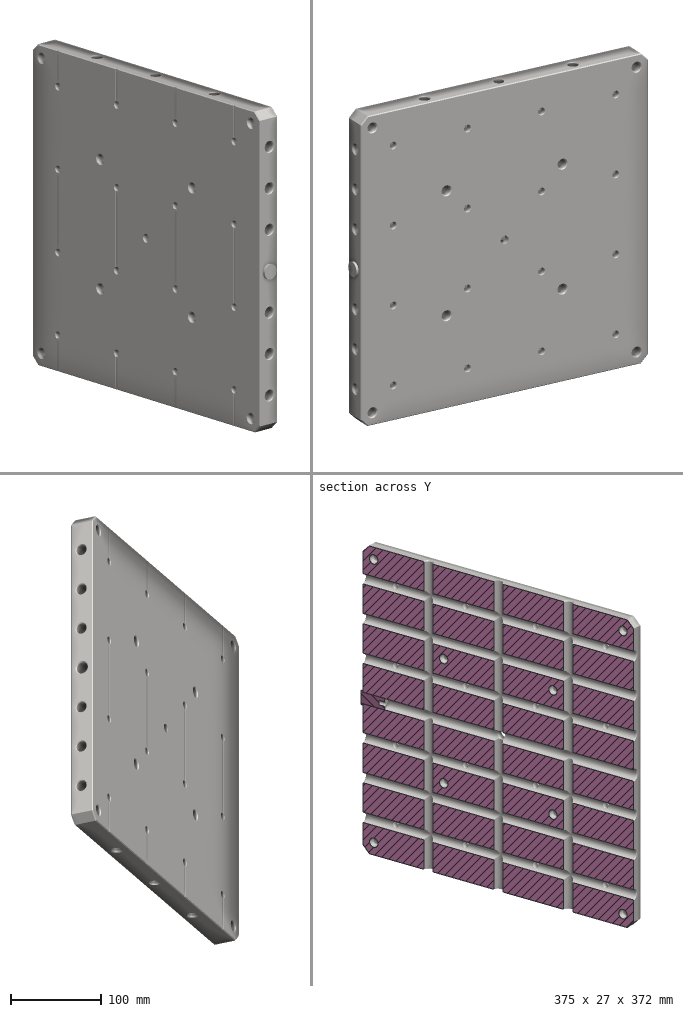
import cadquery as cq

overall_length = 375.0

plate_side = 372.0
plate_thickness = 27.0
corner_chamfer = 9.0
rim_chamfer = 1.0
plate_half = plate_side / 2
plate_front = -plate_thickness / 2

grid_pitch = 96.0
grid_count = 4
grid_hole_dia = 8.0
grid_mouth_dia = 9.0
grid_positions = [(i - (grid_count - 1) / 2) * grid_pitch for i in range(grid_count)]

mounting_offsets = (171.0, 75.0)
mounting_hole_dia = 11.0
mounting_mouth_dia = 13.0
center_hole_dia = 10.0

groove_width = 3.5
groove_depth = 0.5

long_hole_y = 0.7
long_hole_dia = 12.0
long_mouth_dia = 14.0
center_long_hole_dia = 12.0
side_hole_pitch = grid_pitch / 2
side_hole_rows = (-3, -2, -1, 1, 2, 3)

bore_dia = 13.0
bore_mouth_dia = 15.5

head_dia = 17.5
head_height = overall_length - plate_side
stem_length = 30.0
end_hole_dia = 5.0
end_mouth_dia = 6.0
end_hole_depth = 7.5

plate_shift = -head_height / 2


def countersunk_cutter(diameter, mouth_diameter, length, both_ends=True):
    """Round cutter standing on the origin along +Z, widened at 45 degrees at its ends."""
    flare = (mouth_diameter - diameter) / 2
    cutter = cq.Workplane("XY").circle(diameter / 2).extrude(length)
    mouth = cq.Workplane(cq.Solid.makeCone(mouth_diameter / 2, diameter / 2, flare))
    cutter = cutter.union(mouth)
    if both_ends:
        cutter = cutter.union(mouth.mirror("XY").translate((0, 0, length)))
    return cutter


def plain_cutter(diameter, length):
    return cq.Workplane("XY").circle(diameter / 2).extrude(length)


def along_x(cutter, y=0, z=0, start=-plate_half):
    """Lay a cutter along +X."""
    return cutter.rotate((0, 0, 0), (0, 1, 0), 90).translate((start, y, z))


def along_y(cutter, x, z):
    """Lay a cutter along +Y, starting at the front face."""
    return cutter.rotate((0, 0, 0), (1, 0, 0), -90).translate((x, plate_front, z))


def along_z(cutter, x):
    """Stand a cutter on the bottom edge, in the plane of the long holes."""
    return cutter.translate((x, long_hole_y, -plate_half))


def make_blank():
    return (
        cq.Workplane("XY")
        .box(plate_side, plate_thickness, plate_side)
        .edges("|Y").chamfer(corner_chamfer)
        .faces("<Y or >Y").chamfer(rim_chamfer)
    )


def cut_thickness_holes(plate):
    grid_cutter = countersunk_cutter(grid_hole_dia, grid_mouth_dia, plate_thickness)
    for x in grid_positions:
        for z in grid_positions:
            plate = plate.cut(along_y(grid_cutter, x, z))
    mounting_cutter = countersunk_cutter(mounting_hole_dia, mounting_mouth_dia, plate_thickness)
    for offset in mounting_offsets:
        for x in (-offset, offset):
            for z in (-offset, offset):
                plate = plate.cut(along_y(mounting_cutter, x, z))
    return plate.cut(along_y(plain_cutter(center_hole_dia, plate_thickness), 0, 0))


def cut_grooves(plate):
    stops = [-plate_half, *grid_positions, plate_half]
    for bottom, top in zip(stops[::2], stops[1::2]):
        groove = cq.Workplane("XY").box(groove_width, 2 * groove_depth, top - bottom)
        for x in grid_positions:
            plate = plate.cut(groove.translate((x, plate_front, (bottom + top) / 2)))
    return plate


def cut_long_holes(plate):
    long_cutter = countersunk_cutter(long_hole_dia, long_mouth_dia, plate_side)
    for row in side_hole_rows:
        plate = plate.cut(along_x(long_cutter, long_hole_y, row * side_hole_pitch))
    for x in (-grid_pitch, grid_pitch):
        plate = plate.cut(along_z(long_cutter, x))
    return plate.cut(along_z(plain_cutter(center_long_hole_dia, plate_side), 0))


def cut_plug_bore(plate):
    """The bore is countersunk only at its open -X end."""
    return plate.cut(along_x(countersunk_cutter(bore_dia, bore_mouth_dia, plate_side, both_ends=False)))


def make_plate():
    plate = cut_thickness_holes(make_blank())
    plate = cut_grooves(plate)
    plate = cut_long_holes(plate)
    return cut_plug_bore(plate)


def make_plug():
    stem = plain_cutter(bore_dia, stem_length)
    head = plain_cutter(head_dia, head_height).translate((0, 0, stem_length))
    end_hole = countersunk_cutter(end_hole_dia, end_mouth_dia, end_hole_depth, both_ends=False)
    plug = stem.union(head).cut(end_hole)
    return along_x(plug, start=plate_half - stem_length)


plate = make_plate().translate((plate_shift, 0, 0))
plug = make_plug().translate((plate_shift, 0, 0))
result = cq.Compound.makeCompound([plate.val(), plug.val()])